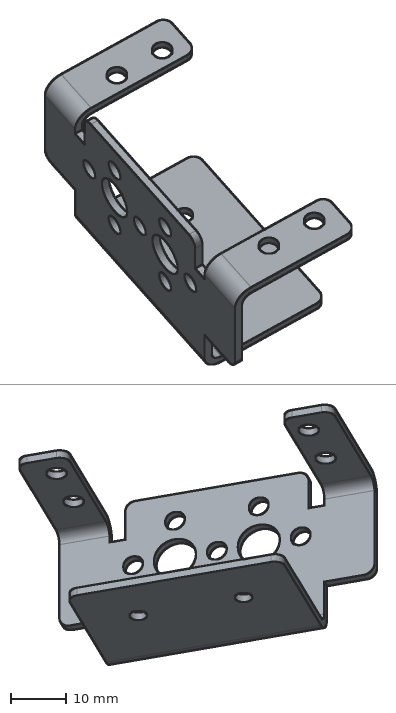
import cadquery as cq

width = 60.0
depth = 26.8
height = 34.8
sheet = 1.6
bend_outer = 3.6
bend_inner = bend_outer - sheet
corner_radius = 2.0

base_width = 40.9
tab_width = 34.9
arm_top = 31.8
ear_bottom = 10.5
notch_bottom = 26.9

hole_pitch = 8.0
hole_center_z = 21.1
large_hole = 8.0
small_hole = 3.7
base_hole = 3.2
base_hole_x = 10.0
base_hole_y = 16.85
arm_hole_x = 24.0
arm_hole_near_y = 11.75
arm_hole_far_y = 21.8

arm_width = (width - base_width) / 2
arm_center_x = (width - arm_width) / 2


def block(x_size, y_size, z_size, x_center, y_start, z_start):
    """Box centred in X and starting at the given Y and Z."""
    return (
        cq.Workplane("XY")
        .box(x_size, y_size, z_size, centered=(True, False, False))
        .translate((x_center, y_start, z_start))
    )


def flange(flange_width, x_center, outer_z, inward):
    """Bend and flat flange; inward is the Z direction towards the inside of the U."""
    bend_z = outer_z + inward * bend_outer
    inner_z = outer_z + inward * sheet
    diagonal = 0.5 ** 0.5
    outer_mid = bend_outer * (1 - diagonal)
    inner_mid = bend_outer - bend_inner * diagonal
    return (
        cq.Workplane("YZ", origin=(x_center, 0, 0))
        .moveTo(0, bend_z)
        .threePointArc((outer_mid, outer_z + inward * outer_mid), (bend_outer, outer_z))
        .lineTo(depth, outer_z)
        .lineTo(depth, inner_z)
        .lineTo(bend_outer, inner_z)
        .threePointArc((inner_mid, outer_z + inward * inner_mid), (sheet, bend_z))
        .close()
        .extrude(flange_width / 2, both=True)
        .edges("|Z and >Y")
        .fillet(corner_radius)
    )


def upright_holes(points, diameter):
    """Cutters through the upright plate, placed relative to the hole pattern centre."""
    return (
        cq.Workplane("XZ", origin=(0, 0, hole_center_z))
        .pushPoints(points)
        .circle(diameter / 2)
        .extrude(-sheet)
    )


def flange_holes(points, diameter, bottom_z):
    """Cutters through a horizontal flange."""
    return (
        cq.Workplane("XY", origin=(0, 0, bottom_z))
        .pushPoints(points)
        .circle(diameter / 2)
        .extrude(sheet)
    )


ears = block(width, sheet, notch_bottom - ear_bottom, 0, 0, ear_bottom)
ears = ears.edges("|Y and <Z").fillet(corner_radius)
tab = block(tab_width, sheet, height - notch_bottom, 0, 0, notch_bottom)
tab = tab.edges("|Y and >Z").fillet(corner_radius)
web = block(base_width, sheet, ear_bottom - bend_outer, 0, 0, bend_outer)
result = ears.union(tab).union(web)

result = result.union(flange(base_width, 0, 0, 1))
arm_root_height = arm_top - bend_outer - notch_bottom
for side in (-1, 1):
    arm_x = side * arm_center_x
    result = result.union(block(arm_width, sheet, arm_root_height, arm_x, 0, notch_bottom))
    result = result.union(flange(arm_width, arm_x, arm_top, -1))

large_points = [(side * hole_pitch, 0) for side in (-1, 1)]
small_points = [(step * hole_pitch, 0) for step in (-2, 0, 2)]
small_points += [(i * hole_pitch, j * hole_pitch) for i in (-1, 1) for j in (-1, 1)]
result = result.cut(upright_holes(large_points, large_hole))
result = result.cut(upright_holes(small_points, small_hole))

base_points = [(side * base_hole_x, base_hole_y) for side in (-1, 1)]
arm_points = [(side * arm_hole_x, y) for side in (-1, 1) for y in (arm_hole_near_y, arm_hole_far_y)]
result = result.cut(flange_holes(base_points, base_hole, 0))
result = result.cut(flange_holes(arm_points, small_hole, arm_top - sheet))